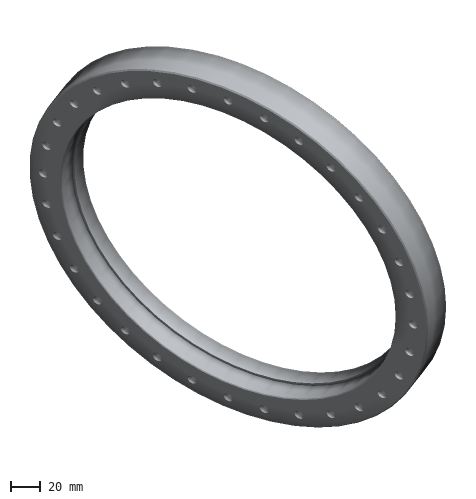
import cadquery as cq

outer_diameter = 306.0
thickness = 26.0
outer_chamfer = 1.0

bore_diameter = 252.0
front_bore_diameter = 256.5
front_bore_depth = 14.5
front_bore_chamfer = 0.5

bolt_count = 32
bolt_circle_diameter = 284.0
bolt_hole_diameter = 6.7

front_y = -thickness / 2
back_y = thickness / 2
step_y = front_y + front_bore_depth


def ring_body():
    """Revolve the half section of the ring, drawn as (radius, y), about the Y axis."""
    outer_radius = outer_diameter / 2
    bore_radius = bore_diameter / 2
    front_bore_radius = front_bore_diameter / 2
    section = [
        (front_bore_radius + front_bore_chamfer, front_y),
        (outer_radius - outer_chamfer, front_y),
        (outer_radius, front_y + outer_chamfer),
        (outer_radius, back_y - outer_chamfer),
        (outer_radius - outer_chamfer, back_y),
        (bore_radius, back_y),
        (bore_radius, step_y),
        (front_bore_radius, step_y),
        (front_bore_radius, front_y + front_bore_chamfer),
    ]
    return cq.Workplane("XY").polyline(section).close().revolve(360, (0, 0), (0, 1))


def bolt_holes():
    """Cylinders through the full thickness, evenly spaced with one on the X axis."""
    return (
        cq.Workplane("XZ", origin=(0, back_y, 0))
        .polarArray(bolt_circle_diameter / 2, 0, 360, bolt_count)
        .circle(bolt_hole_diameter / 2)
        .extrude(thickness)
    )


result = ring_body().cut(bolt_holes())